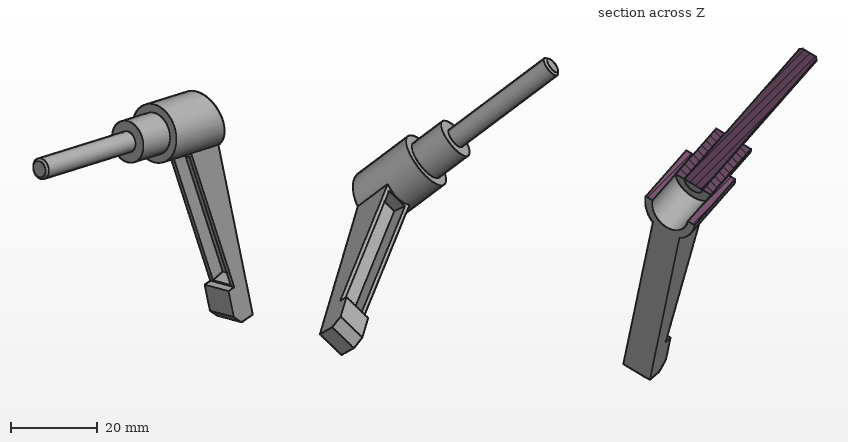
import cadquery as cq
import math

HUB_DIAMETER = 14.0
HUB_RADIUS = HUB_DIAMETER / 2
SLANT = math.radians(15)

BUSHING_RADIUS = 5.0
BUSHING_REACH = 9.0
BUSHING_INSERT = 7.0

PIN_DIAMETER = 5.0
PIN_RADIUS = PIN_DIAMETER / 2
PIN_REACH = 39.0
PIN_CHAMFER = 0.55

LEVER_WIDTH = 7.6
HANDLE_HEIGHT = 57.5
TOTAL_LENGTH = 68.4
LEVER_TIP_Y = TOTAL_LENGTH - PIN_REACH
END_FLAT = 4.0
NOSE_DEPTH = 6.0
NOSE_START = 2.45
NOSE_END = 9.4
NECK_DEPTH = 4.05
UNDERSIDE_TOP_Y = 8.55
UNDERSIDE_TOP_Z = -6.15

POCKET_WIDTH = 5.55
POCKET_DEPTH = 3.55
POCKET_TOP_Z = -7.2
POCKET_BOTTOM_Z = -41.1

LEVER_TIP_Z = HUB_RADIUS - HANDLE_HEIGHT + END_FLAT * math.sin(SLANT)
HUB_TOP_LENGTH = LEVER_TIP_Y - (HUB_RADIUS - LEVER_TIP_Z) * math.tan(SLANT)


def cylinder_along_y(radius, front, back):
    """Cylinder on the Y axis from Y = front to Y = back."""
    return cq.Workplane("XZ", origin=(0, back, 0)).circle(radius).extrude(back - front)


def extrude_profile(points, width):
    """Extrude a closed (Y, Z) outline symmetrically about X = 0."""
    return cq.Workplane("YZ").polyline(points).close().extrude(width / 2, both=True)


def slanted_back_y(z):
    """Y of the common slanted back of hub and lever at height z."""
    return HUB_TOP_LENGTH + (HUB_RADIUS - z) * math.tan(SLANT)


def lever_point(along, depth):
    """(Y, Z) at a distance up the back from the tip and a depth square to the back."""
    y = LEVER_TIP_Y - along * math.sin(SLANT) - depth * math.cos(SLANT)
    z = LEVER_TIP_Z + along * math.cos(SLANT) - depth * math.sin(SLANT)
    return y, z


def make_hub():
    cylinder = cylinder_along_y(HUB_RADIUS, 0, slanted_back_y(-HUB_RADIUS))
    side = [
        (0, HUB_RADIUS),
        (HUB_TOP_LENGTH, HUB_RADIUS),
        (slanted_back_y(-HUB_RADIUS), -HUB_RADIUS),
        (0, -HUB_RADIUS),
    ]
    return cylinder.intersect(extrude_profile(side, HUB_DIAMETER))


def make_lever():
    root_z = -math.sqrt(HUB_RADIUS**2 - (LEVER_WIDTH / 2) ** 2)
    outline = [
        lever_point(0, 0),
        lever_point(0, END_FLAT),
        lever_point(NOSE_START, NOSE_DEPTH),
        lever_point(NOSE_END, NOSE_DEPTH),
        lever_point(NOSE_END, NECK_DEPTH),
        (UNDERSIDE_TOP_Y, UNDERSIDE_TOP_Z),
        (UNDERSIDE_TOP_Y, root_z),
        (slanted_back_y(root_z), root_z),
    ]
    return extrude_profile(outline, LEVER_WIDTH)


def make_pocket():
    neck_y, neck_z = lever_point(NOSE_END, NECK_DEPTH)
    run_per_drop = (neck_y - UNDERSIDE_TOP_Y) / (UNDERSIDE_TOP_Z - neck_z)
    tilt = math.atan(run_per_drop)
    inward_y = POCKET_DEPTH * math.cos(tilt)
    inward_z = POCKET_DEPTH * math.sin(tilt)
    mouth_top_y = UNDERSIDE_TOP_Y + (UNDERSIDE_TOP_Z - POCKET_TOP_Z) * run_per_drop
    mouth_bottom_y = UNDERSIDE_TOP_Y + (UNDERSIDE_TOP_Z - POCKET_BOTTOM_Z) * run_per_drop
    outline = [
        (mouth_top_y, POCKET_TOP_Z),
        (mouth_bottom_y, POCKET_BOTTOM_Z),
        (mouth_bottom_y + inward_y, POCKET_BOTTOM_Z + inward_z),
        (mouth_top_y + inward_y, POCKET_TOP_Z + inward_z),
    ]
    return extrude_profile(outline, POCKET_WIDTH)


def make_handle():
    bore = cylinder_along_y(BUSHING_RADIUS, 0, slanted_back_y(-HUB_RADIUS))
    return make_hub().union(make_lever()).cut(make_pocket()).cut(bore)


def make_bushing():
    body = cylinder_along_y(BUSHING_RADIUS, -BUSHING_REACH, BUSHING_INSERT)
    return body.cut(cylinder_along_y(PIN_RADIUS, -BUSHING_REACH, BUSHING_INSERT))


def make_pin():
    pin = cylinder_along_y(PIN_RADIUS, -PIN_REACH, BUSHING_INSERT)
    return pin.faces("<Y").chamfer(PIN_CHAMFER)


handle = make_handle()
bushing = make_bushing()
pin = make_pin()

result = cq.Compound.makeCompound([body.solids().val() for body in (handle, bushing, pin)])